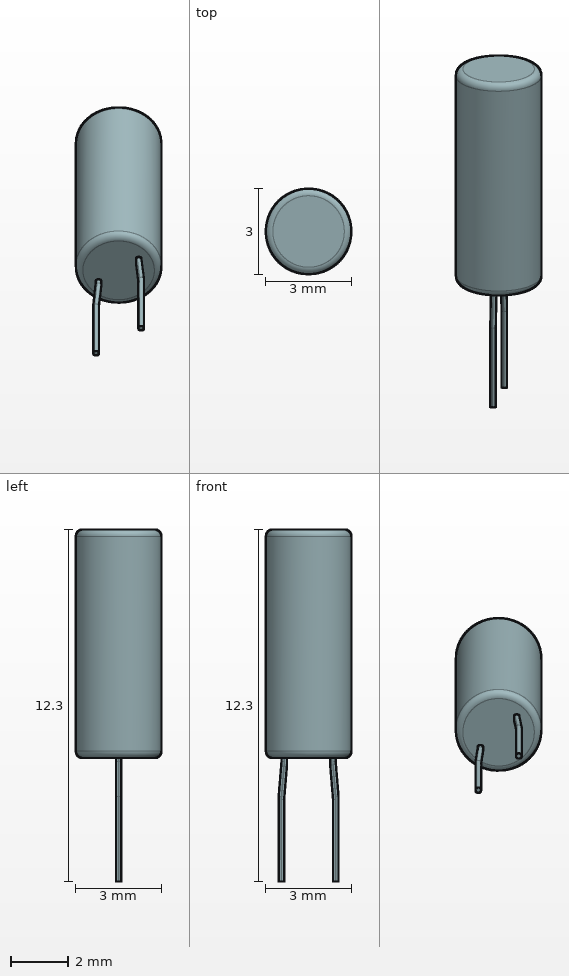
import cadquery as cq

can_diameter = 3.0
can_height = 8.0
can_edge_radius = 0.25

overall_height = 12.31
lead_width = 0.2
lead_corner_radius = 0.095
root_spacing = 1.7
leg_spacing = 1.9
lead_embed = 0.1

outer_root_bend_depth = 0.11
inner_root_bend_depth = 0.24
outer_leg_bend_depth = 1.33
inner_leg_bend_depth = 1.44

lead_depth = overall_height - can_height


def make_can():
    """Upright cylinder standing on Z = 0 with both rims rounded."""
    can = cq.Workplane("XY").circle(can_diameter / 2).extrude(can_height)
    return can.faces("|Z").edges().fillet(can_edge_radius)


def make_lead():
    """Bent lead on the +X side, its top end embedded in the can."""
    half_width = lead_width / 2
    root_x = root_spacing / 2
    leg_x = leg_spacing / 2
    bent_outline = [
        (root_x + half_width, lead_embed),
        (root_x + half_width, -outer_root_bend_depth),
        (leg_x + half_width, -outer_leg_bend_depth),
        (leg_x + half_width, -lead_depth),
        (leg_x - half_width, -lead_depth),
        (leg_x - half_width, -inner_leg_bend_depth),
        (root_x - half_width, -inner_root_bend_depth),
        (root_x - half_width, lead_embed),
    ]
    bar = cq.Workplane("XZ").polyline(bent_outline).close().extrude(half_width, both=True)
    lengthwise_edges = bar.faces("<Y or >Y").edges("not |X")
    return lengthwise_edges.fillet(lead_corner_radius)


right_lead = make_lead()
left_lead = right_lead.mirror("YZ")
result = make_can().union(right_lead).union(left_lead)